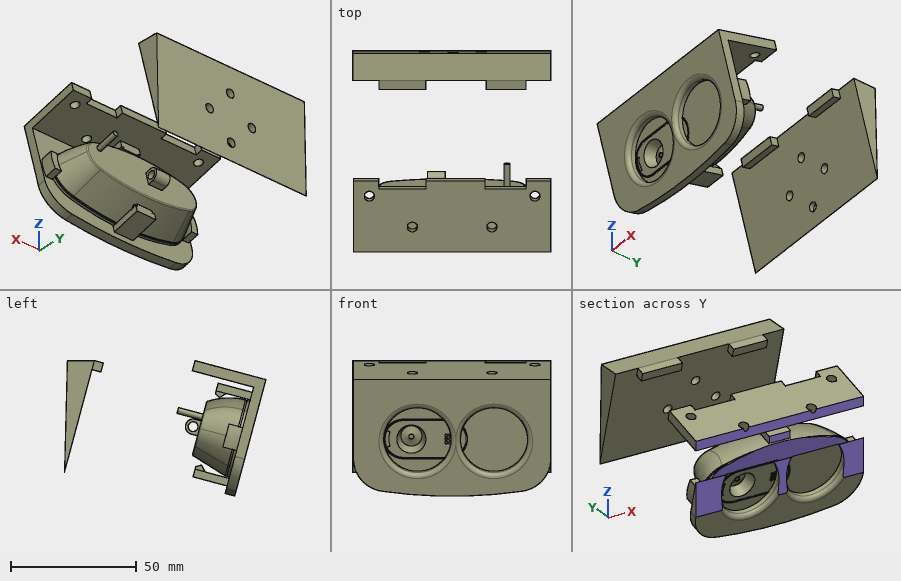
import cadquery as cq
import math

TILT = 15.0
OVERALL_DEPTH = 80.3
OVERALL_HEIGHT = 54.12
FRONT_Y = -OVERALL_DEPTH / 2
BACK_Y = OVERALL_DEPTH / 2
TOP_Z = OVERALL_HEIGHT / 2

BRACKET_LEFT = -39.2
BRACKET_RIGHT = 39.5
MID_X = (BRACKET_LEFT + BRACKET_RIGHT) / 2
SHELF_DEPTH = 29.3
SHELF_THICK = 4.25
FACE_THICK = 4.0
TILT_SIN = math.sin(math.radians(TILT))
TILT_COS = math.cos(math.radians(TILT))
FACE_HEIGHT = (OVERALL_HEIGHT - SHELF_DEPTH * TILT_SIN) / TILT_COS
EDGE_Z = FACE_HEIGHT * TILT_COS - OVERALL_HEIGHT / 2
CHIN_RADIUS = 190.0
CORNER_RADIUS = 13.5

NOTCH_DEPTH = 3.3
NOTCH_SPANS = [(-29.05, -10.35), (13.25, 29.65)]
SCREW_DIAMETER = 4.0
BACK_SCREWS_X, BACK_SCREWS_Y = 33.0, 23.05
FRONT_SCREWS_X, FRONT_SCREWS_Y = 15.85, 10.35

AXIS_Z = -25.65
EYE_Z = -25.5
EYE_X = [-13.65, 16.85]
EYE_DIAMETER = 26.77
EYE_ROUND = 1.95

CLIP_WIDTH = 10.0
HOOK_WIDTH = 8.0
CLIP_LENGTH = 14.1
CLIP_THICK = 3.2
CLIP_INNER = 16.15
HOOK_LENGTH = 4.2
HOOK_NOSE = 1.1
HOOK_HEIGHT = 2.3
HOOK_PEAK = 2.1
STOP_LENGTH = 5.65
STOP_HEIGHT = 9.5
STOP_REACH = 38.7

FLANGE_HALF_WIDTH, FLANGE_HALF_HEIGHT = 35.0, 15.75
FLANGE_THICK = 1.1
BELT_THICK = 0.7
BELT_INSET = 0.15
BACK_HALF_WIDTH, BACK_HALF_HEIGHT = 29.0, 11.1
BACK_ROUND = 0.6
MODULE_DEPTH = 16.6
OVAL_TURN = 72.0
BULGE_HALF_HEIGHT = 14.6

LENS_X = -16.1
LENS_OPENING, LENS_DIAMETER = 11.6, 8.4
LENS_RECESS = 5.0
LENS_DOME = 1.3
LENS_PORT_DIAMETER, LENS_PORT_DEPTH = 2.0, 0.5
GROOVE_HALF_HEIGHT = 7.9
GROOVE_WIDTH = 0.5
GROOVE_LEFT, GROOVE_RIGHT = -27.0, 6.0
DETAIL_DEPTH = 0.5
ARC_SLOT_RADIUS, ARC_SLOT_WIDTH, ARC_SLOT_HALF_ANGLE = 9.7, 1.5, 19.0
PORT_DIAMETER, PORT_PITCH = 1.0, 1.5
PORTS_X = -1.45

PIN_X, PIN_Z = 22.05, -21.0
PIN_DIAMETER, PIN_END = 2.5, 30.8
EYELET_LEFT, EYELET_RIGHT = -9.75, -2.5
EYELET_Y = 23.2
EYELET_DIAMETER, EYELET_BORE = 6.2, 3.81

WEDGE_WIDTH = 79.0
WEDGE_FRONT_Y = 28.2
BACK_LEAN = 1.45
TAB_SPANS = [(-29.05, -10.35), (13.65, 29.65)]
TAB_LENGTH, TAB_HEIGHT = 3.7, 3.8
MOUNT_RADIUS = 11.3
MOUNT_X, MOUNT_DROP = 0.45, 26.3
MOUNT_DIAMETER = 4.0


def span_box(x_span, y_span, z_span):
    """Box between two limits along each axis."""
    size = [span[1] - span[0] for span in (x_span, y_span, z_span)]
    corner = (x_span[0], y_span[0], z_span[0])
    return cq.Workplane("XY").box(*size, centered=False).translate(corner)


def face_plane(y, x=0.0, z=AXIS_Z):
    """Plane parallel to the face plate, with its normal pointing forwards."""
    return cq.Workplane("XZ", origin=(x, y, z))


def place_bracket_frame(body):
    """Tilt a body built in the bracket's frame and move it to its place."""
    tilted = body.rotate((0, 0, 0), (1, 0, 0), TILT)
    return tilted.translate((0, FRONT_Y, EDGE_Z))


def face_plate():
    """Upright plate with a shallow arc along its bottom and rounded lower corners."""
    x_span = (BRACKET_LEFT, BRACKET_RIGHT)
    plate = span_box(x_span, (0, FACE_THICK), (-FACE_HEIGHT, 0))
    chin = face_plane(0, MID_X, CHIN_RADIUS - FACE_HEIGHT).circle(CHIN_RADIUS).extrude(-FACE_THICK)
    plate = plate.intersect(chin)
    return plate.edges("|Y and (not >Z)").fillet(CORNER_RADIUS)


def shelf():
    """Top plate with two notches in its back edge and four screw holes."""
    plate = span_box((BRACKET_LEFT, BRACKET_RIGHT), (0, SHELF_DEPTH), (-SHELF_THICK, 0))
    for notch in NOTCH_SPANS:
        plate = plate.cut(span_box(notch, (SHELF_DEPTH - NOTCH_DEPTH, SHELF_DEPTH), (-SHELF_THICK, 0)))
    screws = [
        (MID_X + side * x, y)
        for side in (-1, 1)
        for x, y in ((BACK_SCREWS_X, BACK_SCREWS_Y), (FRONT_SCREWS_X, FRONT_SCREWS_Y))
    ]
    return plate.cut(cq.Workplane("XY").pushPoints(screws).circle(SCREW_DIAMETER / 2).extrude(-SHELF_THICK))


def eye_cutter(x):
    """Round opening whose front rim is rounded over."""
    radius = EYE_DIAMETER / 2
    profile = (
        cq.Workplane("XY")
        .lineTo(radius + EYE_ROUND, 0)
        .radiusArc((radius, EYE_ROUND), EYE_ROUND)
        .lineTo(radius, FACE_THICK)
        .lineTo(0, FACE_THICK)
        .close()
    )
    return profile.revolve(360, (0, 0, 0), (0, 1, 0)).translate((x, 0, EYE_Z))


def upper_clip():
    """Snap clip above the module, with a narrower hook pointing down."""
    end = FACE_THICK + CLIP_LENGTH
    inner = AXIS_Z + CLIP_INNER
    arm_span = (MID_X - CLIP_WIDTH / 2, MID_X + CLIP_WIDTH / 2)
    arm = span_box(arm_span, (FACE_THICK, end), (inner, inner + CLIP_THICK))
    hook = (
        cq.Workplane("YZ", origin=(MID_X - HOOK_WIDTH / 2, 0, 0))
        .moveTo(end, inner)
        .lineTo(end, inner - HOOK_NOSE)
        .lineTo(end - HOOK_PEAK, inner - HOOK_HEIGHT)
        .lineTo(end - HOOK_LENGTH, inner)
        .close()
        .extrude(HOOK_WIDTH)
    )
    return arm.union(hook)


def side_stop(side):
    """Curved block beside the module, an arc of ring; side is -1 for left and 1 for right."""
    outer_radius = CLIP_INNER + CLIP_THICK
    centre_x = MID_X + side * (STOP_REACH - outer_radius)
    ring = (
        face_plane(FACE_THICK, centre_x)
        .circle(outer_radius)
        .circle(CLIP_INNER)
        .extrude(-STOP_LENGTH)
    )
    x_span = sorted((centre_x, centre_x + side * outer_radius))
    y_span = (FACE_THICK, FACE_THICK + STOP_LENGTH)
    z_span = (AXIS_Z - STOP_HEIGHT / 2, AXIS_Z + STOP_HEIGHT / 2)
    return ring.intersect(span_box(x_span, y_span, z_span))


def make_bracket():
    """Shelf and face plate with the eye openings, snap clips and side stops."""
    body = face_plate().union(shelf())
    for x in EYE_X:
        body = body.cut(eye_cutter(x))
    clip = upper_clip()
    body = body.union(clip).union(clip.mirror("XY", (0, 0, AXIS_Z)))
    for side in (-1, 1):
        body = body.union(side_stop(side))
    return place_bracket_frame(body)


def half_oval(y, half_width, half_height, side):
    """Closed half of a four-arc oval on the module axis; side is 1 for the upper half, -1 for the lower.

    All ovals share the sweep of their end arcs.
    """
    turn = math.radians(OVAL_TURN)
    cos, sin = math.cos(turn), math.sin(turn)
    centre_distance = (half_width - half_height) / (cos + sin - 1)
    end_x = centre_distance * cos
    end_radius = half_width - end_x
    join_x = end_x + end_radius * cos
    join_z = side * end_radius * sin
    end_mid_x = end_x + end_radius * math.cos(turn / 2)
    end_mid_z = side * end_radius * math.sin(turn / 2)
    return (
        face_plane(y, MID_X)
        .moveTo(half_width, 0)
        .threePointArc((end_mid_x, end_mid_z), (join_x, join_z))
        .threePointArc((0, side * half_height), (-join_x, join_z))
        .threePointArc((-end_mid_x, end_mid_z), (-half_width, 0))
        .close()
    )


def module_half(side):
    """Upper or lower half of the module: flange, recessed belt and a body that narrows backwards."""
    belt_y = FACE_THICK + FLANGE_THICK
    body_y = belt_y + BELT_THICK
    back_y = FACE_THICK + MODULE_DEPTH
    front = (FLANGE_HALF_WIDTH, FLANGE_HALF_HEIGHT)
    belt = (FLANGE_HALF_WIDTH - BELT_INSET, FLANGE_HALF_HEIGHT - BELT_INSET)
    back = (BACK_HALF_WIDTH, BACK_HALF_HEIGHT)
    outlines = [half_oval(body_y, *front, side).val(), half_oval(back_y, *back, side).val()]
    if side > 0:
        bulge = ((FLANGE_HALF_WIDTH + BACK_HALF_WIDTH) / 2, BULGE_HALF_HEIGHT)
        outlines.insert(1, half_oval((body_y + back_y) / 2, *bulge, side).val())
    body = cq.Workplane(obj=cq.Solid.makeLoft(outlines, side < 0))
    flange = half_oval(FACE_THICK, *front, side).extrude(-FLANGE_THICK)
    return flange.union(half_oval(belt_y, *belt, side).extrude(-BELT_THICK)).union(body)


def module_shell():
    """Both halves as one body with a rounded back edge."""
    shell = module_half(1).union(module_half(-1))
    return shell.faces(">Y").edges().fillet(BACK_ROUND)


def lens_cutter():
    """Tapered recess that leaves a domed lens with a small port at its crest."""
    crest = LENS_RECESS - LENS_DOME
    port = LENS_PORT_DIAMETER / 2
    lens = LENS_DIAMETER / 2
    sphere = (lens**2 + LENS_DOME**2) / (2 * LENS_DOME)
    port_rim = crest + sphere - math.sqrt(sphere**2 - port**2)
    profile = (
        cq.Workplane("XY")
        .lineTo(LENS_OPENING / 2, 0)
        .lineTo(lens, LENS_RECESS)
        .radiusArc((port, port_rim), -sphere)
        .lineTo(port, crest + LENS_PORT_DEPTH)
        .lineTo(0, crest + LENS_PORT_DEPTH)
        .close()
    )
    return profile.revolve(360, (0, 0, 0), (0, 1, 0)).translate((LENS_X, FACE_THICK, AXIS_Z))


def face_groove():
    """Racetrack groove around the lens."""
    middle = (GROOVE_LEFT + GROOVE_RIGHT) / 2
    length = GROOVE_RIGHT - GROOVE_LEFT
    height = 2 * GROOVE_HALF_HEIGHT
    track = face_plane(FACE_THICK, middle).slot2D(length + GROOVE_WIDTH, height + GROOVE_WIDTH)
    island = face_plane(FACE_THICK, middle).slot2D(length - GROOVE_WIDTH, height - GROOVE_WIDTH)
    return track.extrude(-DETAIL_DEPTH).cut(island.extrude(-DETAIL_DEPTH))


def arc_slot():
    """Short curved slot to the left of the lens and concentric with it."""
    inner = ARC_SLOT_RADIUS - ARC_SLOT_WIDTH / 2
    outer = ARC_SLOT_RADIUS + ARC_SLOT_WIDTH / 2
    angle = math.radians(ARC_SLOT_HALF_ANGLE)
    cos, sin = math.cos(angle), math.sin(angle)
    return (
        face_plane(FACE_THICK, LENS_X)
        .moveTo(-inner * cos, -inner * sin)
        .threePointArc((-inner, 0), (-inner * cos, inner * sin))
        .lineTo(-outer * cos, outer * sin)
        .threePointArc((-outer, 0), (-outer * cos, -outer * sin))
        .close()
        .extrude(-DETAIL_DEPTH)
    )


def port_grid():
    """Two columns of three small blind ports."""
    grid = face_plane(FACE_THICK, PORTS_X).rarray(PORT_PITCH, PORT_PITCH, 2, 3)
    return grid.circle(PORT_DIAMETER / 2).extrude(-DETAIL_DEPTH)


def pin():
    """Round pin standing on the back of the module."""
    back = FACE_THICK + MODULE_DEPTH
    return face_plane(back, PIN_X, PIN_Z).circle(PIN_DIAMETER / 2).extrude(back - PIN_END)


def eyelet():
    """Cross-bored eyelet on the back of the module, its web as tall as the ring."""
    back = FACE_THICK + MODULE_DEPTH
    width = EYELET_RIGHT - EYELET_LEFT
    radius = EYELET_DIAMETER / 2
    centre = cq.Workplane("YZ", origin=(EYELET_LEFT, EYELET_Y, AXIS_Z))
    web = span_box((EYELET_LEFT, EYELET_RIGHT), (back, EYELET_Y), (AXIS_Z - radius, AXIS_Z + radius))
    ring = centre.circle(radius).extrude(width).union(web)
    return ring.cut(centre.circle(EYELET_BORE / 2).extrude(width))


def make_module():
    """Sensor module with its front details, pin and eyelet."""
    body = module_shell()
    for cutter in (lens_cutter(), face_groove(), arc_slot(), port_grid()):
        body = body.cut(cutter)
    body = body.union(pin()).union(eyelet())
    return place_bracket_frame(body)


def make_wedge():
    """Wedge with its tabs and mounting holes."""
    front_height = (BACK_Y - WEDGE_FRONT_Y) / math.tan(math.radians(TILT))
    top_back_y = BACK_Y - front_height * math.tan(math.radians(BACK_LEAN))
    left = -WEDGE_WIDTH / 2
    body = (
        cq.Workplane("YZ", origin=(left, 0, 0))
        .moveTo(WEDGE_FRONT_Y, TOP_Z)
        .lineTo(top_back_y, TOP_Z)
        .lineTo(BACK_Y, TOP_Z - front_height)
        .close()
        .extrude(WEDGE_WIDTH)
    )
    for tab in TAB_SPANS:
        block = span_box(tab, (-TAB_LENGTH, 0), (-TAB_HEIGHT, 0))
        block = block.rotate((0, 0, 0), (1, 0, 0), TILT)
        body = body.union(block.translate((0, WEDGE_FRONT_Y, TOP_Z)))
    holes = face_plane(0, MOUNT_X, -MOUNT_DROP).polarArray(MOUNT_RADIUS, 0, 360, 4)
    holes = holes.circle(MOUNT_DIAMETER / 2).extrude(-WEDGE_FRONT_Y)
    holes = holes.rotate((0, 0, 0), (1, 0, 0), TILT).translate((0, WEDGE_FRONT_Y, TOP_Z))
    return body.cut(holes)


bracket = make_bracket()
module = make_module()
wedge = make_wedge()
result = cq.Compound.makeCompound([bracket.val(), module.val(), wedge.val()])